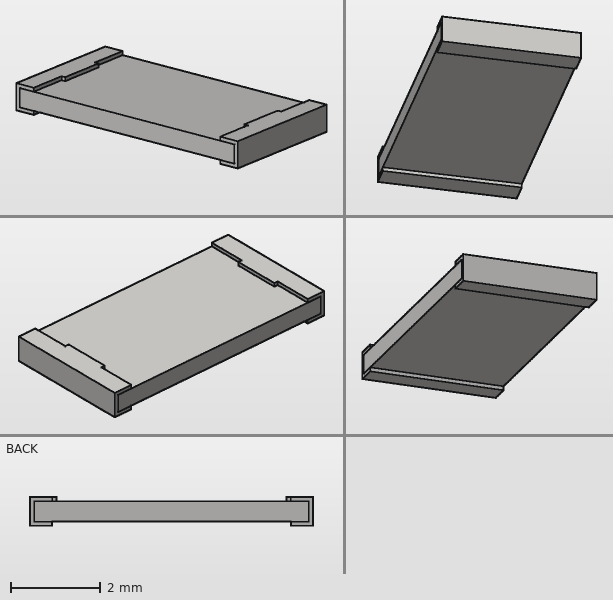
import cadquery as cq

LENGTH = 6.35
WIDTH = 3.2
HEIGHT = 0.65

END_WALL = 0.1
BAND_THICKNESS = 0.095
BAND_LENGTH = 0.5
TAB_LENGTH = 0.1
TAB_WIDTH = 1.2

SUBSTRATE_LENGTH = LENGTH - 2 * END_WALL
SUBSTRATE_HEIGHT = HEIGHT - 2 * BAND_THICKNESS


def make_substrate():
    """Plain rectangular plate centred on the origin."""
    return cq.Workplane("XY").box(SUBSTRATE_LENGTH, WIDTH, SUBSTRATE_HEIGHT)


def make_left_cap():
    """C-shaped cap on the -X end, with a tab on its upper band."""
    outer_x = -LENGTH / 2
    wall_x = outer_x + END_WALL
    band_x = outer_x + BAND_LENGTH
    outer_z = HEIGHT / 2
    inner_z = SUBSTRATE_HEIGHT / 2

    channel = (
        cq.Workplane("XZ")
        .moveTo(outer_x, -outer_z)
        .lineTo(band_x, -outer_z)
        .lineTo(band_x, -inner_z)
        .lineTo(wall_x, -inner_z)
        .lineTo(wall_x, inner_z)
        .lineTo(band_x, inner_z)
        .lineTo(band_x, outer_z)
        .lineTo(outer_x, outer_z)
        .close()
        .extrude(WIDTH / 2, both=True)
    )
    tab = (
        cq.Workplane("XY")
        .box(TAB_LENGTH, TAB_WIDTH, BAND_THICKNESS, centered=(False, True, False))
        .translate((band_x, 0, inner_z))
    )
    return channel.union(tab)


substrate = make_substrate()

caps = [make_left_cap().rotate((0, 0, 0), (0, 0, 1), angle) for angle in (0, 180)]

result = cq.Compound.makeCompound([substrate.val(), *[cap.val() for cap in caps]])